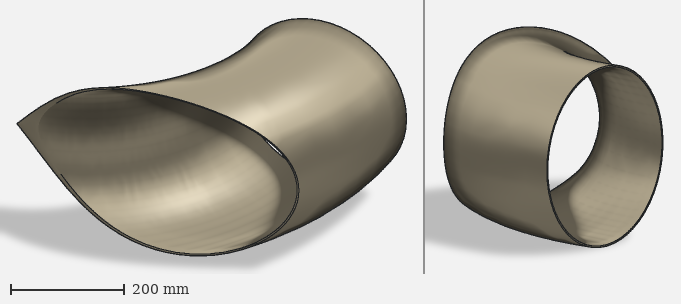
import cadquery as cq

reach = 619.0
pipe_diameter = 324.0
wall = 3.0
main_pipe_diameter = 609.5
bend_angle = 90.0
main_pipe_length = 3 * reach

pipe_radius = pipe_diameter / 2
bend_radius = reach - pipe_radius
inner_bend_radius = bend_radius - pipe_radius
main_pipe_radius = main_pipe_diameter / 2

main_pipe_y = -(inner_bend_radius + main_pipe_radius)


def bent_rod(radius):
    """Solid quarter bend about the Z axis, from the XZ plane round to the YZ plane."""
    return (
        cq.Workplane("XZ")
        .center(bend_radius, 0)
        .circle(radius)
        .revolve(bend_angle, (-bend_radius, 0), (-bend_radius, -1))
    )


def main_pipe():
    """Solid cylinder filling the main pipe, its seam turned to +Z, clear of the elbow."""
    return (
        cq.Workplane("ZY", origin=(main_pipe_length / 2, 0, 0))
        .center(0, main_pipe_y)
        .circle(main_pipe_radius)
        .extrude(main_pipe_length)
    )


elbow = bent_rod(pipe_radius).cut(bent_rod(pipe_radius - wall))
result = elbow.cut(main_pipe())